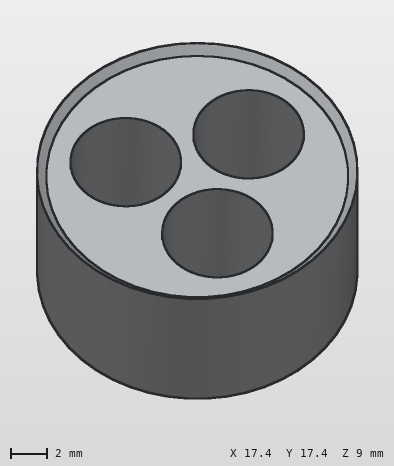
import cadquery as cq

body_diameter = 17.4
body_height = 9.0

recess_depth = 0.5
floor_height = body_height - recess_depth
rim_radius = body_diameter / 2
floor_radius = rim_radius - recess_depth

hole_count = 3
hole_diameter = 6.0
hole_circle_radius = 4.0
first_hole_angle = 90


def make_body():
    """Revolve the half section, including the dished top, about Z."""
    half_section = (
        cq.Workplane("XZ")
        .moveTo(0, 0)
        .lineTo(rim_radius, 0)
        .lineTo(rim_radius, body_height)
        .lineTo(floor_radius, floor_height)
        .lineTo(0, floor_height)
        .close()
    )
    return half_section.revolve(360, (0, 0), (0, 1))


def make_hole_cutters():
    """Cylinders that pass through the full height of the body."""
    return (
        cq.Workplane("XY")
        .polarArray(hole_circle_radius, first_hole_angle, 360, hole_count)
        .circle(hole_diameter / 2)
        .extrude(body_height)
    )


result = make_body().cut(make_hole_cutters())